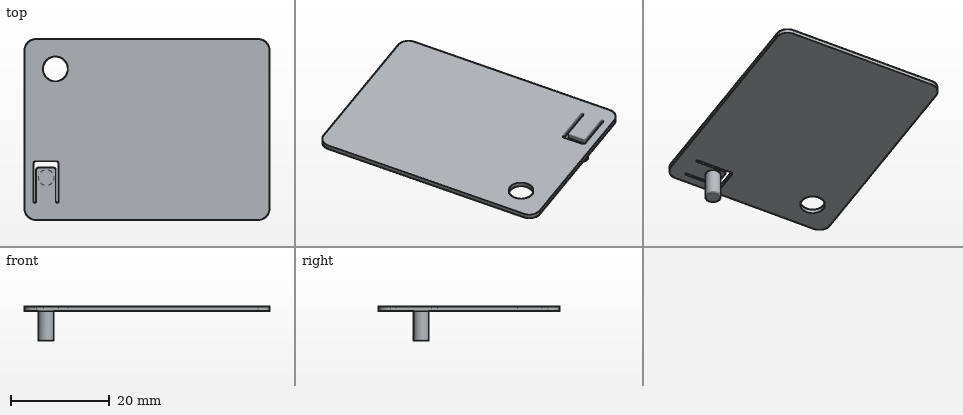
import cadquery as cq

plate_length = 49.8
plate_width = 36.8
plate_thickness = 1.0
corner_radius = 2.4
left = -plate_length / 2
front = -plate_width / 2
back = plate_width / 2

hole_diameter = 5.0
hole_x = left + 6.3
hole_y = back - 6.1

pin_diameter = 3.18
pin_length = 6.0
pin_tip_fillet = 0.2
pin_x = left + 4.39
pin_y = front + 8.69

tongue_width = 4.05
tongue_tip_y = pin_y + 2.0
tongue_root_y = front + 3.57
side_gap = 0.5
tip_gap = 1.25
slot_corner_radius = 0.5
tongue_corner_radius = 0.5
slot_end_radius = 0.24
slot_edge_fillet = 0.1


def make_plate():
    plate = cq.Workplane("XY").box(
        plate_length, plate_width, plate_thickness, centered=(True, True, False)
    )
    return plate.edges("|Z").fillet(corner_radius)


def make_hole():
    return cq.Workplane("XY").center(hole_x, hole_y).circle(hole_diameter / 2).extrude(plate_thickness)


def upright_block(width, y_start, y_end):
    """Block through the plate thickness, centred on the pin in X."""
    return (
        cq.Workplane("XY")
        .center(pin_x, (y_start + y_end) / 2)
        .rect(width, y_end - y_start)
        .extrude(plate_thickness)
    )


def make_slot():
    opening = upright_block(tongue_width + 2 * side_gap, tongue_root_y, tongue_tip_y + tip_gap)
    opening = opening.edges("|Z and >Y").fillet(slot_corner_radius)
    tongue = upright_block(tongue_width, tongue_root_y, tongue_tip_y)
    tongue = tongue.edges("|Z and >Y").fillet(tongue_corner_radius)
    return opening.cut(tongue).edges("|Z and <Y").fillet(slot_end_radius)


def make_pin():
    pin = cq.Workplane("XY").center(pin_x, pin_y).circle(pin_diameter / 2).extrude(-pin_length)
    return pin.faces("<Z").edges().fillet(pin_tip_fillet)


def round_slot_rim(body):
    """Round the top edges of the slot, on both the opening and the tongue."""
    half_width = tongue_width / 2 + 2 * side_gap
    rim = cq.selectors.BoxSelector(
        (pin_x - half_width, tongue_root_y - side_gap, plate_thickness - slot_edge_fillet),
        (pin_x + half_width, tongue_tip_y + 2 * tip_gap, plate_thickness + slot_edge_fillet),
    )
    return body.edges(rim).fillet(slot_edge_fillet)


slotted_plate = round_slot_rim(make_plate().cut(make_hole()).cut(make_slot()))
result = slotted_plate.union(make_pin())